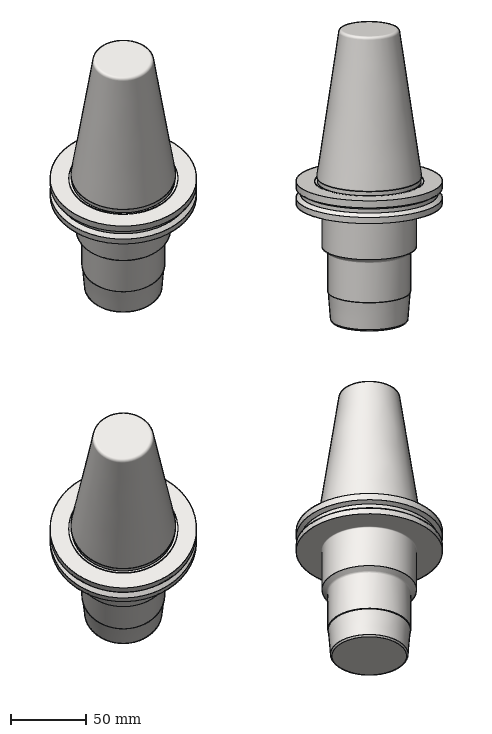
import cadquery as cq
import math

total_height = 201.8

gauge_radius = 35.0
gauge_z = 100.0
taper_ratio = 7 / 24
tip_fillet = 2.2

gauge_band = 0.6
neck_depth = 0.5
recess_radius = 36.3
recess_depth = 0.6

flange_radius = 48.72
flange_top = 96.8
flange_bottom = 81.1
groove_top = 92.0
groove_bottom = 85.3
groove_radius = 45.8
groove_floor_top = 90.4
groove_floor_bottom = 87.5

body_radius = 31.5
body_bottom = 51.2
root_fillet = 0.6

shank_radius = 27.6
shoulder_arc_width = 0.6
shoulder_arc_height = 1.0
shoulder_arc_radius = 1.6
shoulder_bottom = 48.8

nose_top = 20.2
nose_step = 0.3
nose_angle = math.radians(4.5)
nose_chamfer_height = 1.2
nose_chamfer_width = 1.0


def taper_radius(z):
    return gauge_radius - (z - gauge_z) * taper_ratio / 2


def add_taper_and_neck(profile):
    neck_radius = gauge_radius - neck_depth
    neck_top = gauge_z - gauge_band - neck_depth
    recess_floor = flange_top - recess_depth
    return (
        profile.lineTo(taper_radius(total_height), total_height)
        .lineTo(gauge_radius, gauge_z)
        .lineTo(gauge_radius, gauge_z - gauge_band)
        .lineTo(neck_radius, neck_top)
        .lineTo(neck_radius, recess_floor)
        .lineTo(recess_radius, recess_floor)
        .lineTo(recess_radius, flange_top)
    )


def add_flange(profile):
    return (
        profile.lineTo(flange_radius, flange_top)
        .lineTo(flange_radius, groove_top)
        .lineTo(groove_radius, groove_floor_top)
        .lineTo(groove_radius, groove_floor_bottom)
        .lineTo(flange_radius, groove_bottom)
        .lineTo(flange_radius, flange_bottom)
    )


def add_body_and_shank(profile):
    return (
        profile.lineTo(body_radius + root_fillet, flange_bottom)
        .radiusArc((body_radius, flange_bottom - root_fillet), -root_fillet)
        .lineTo(body_radius, body_bottom)
        .lineTo(shank_radius + shoulder_arc_width, shoulder_bottom)
        .radiusArc((shank_radius, shoulder_bottom - shoulder_arc_height), -shoulder_arc_radius)
        .lineTo(shank_radius, nose_top + nose_step)
    )


def add_nose(profile):
    start_radius = shank_radius - nose_step
    end_radius = start_radius - (nose_top - nose_chamfer_height) * math.tan(nose_angle)
    return (
        profile.lineTo(start_radius, nose_top)
        .lineTo(end_radius, nose_chamfer_height)
        .lineTo(end_radius - nose_chamfer_width, 0)
    )


outline = cq.Workplane("XZ").moveTo(0, 0).lineTo(0, total_height)
for add_section in (add_taper_and_neck, add_flange, add_body_and_shank, add_nose):
    outline = add_section(outline)

holder = outline.close().revolve(360, (0, 0, 0), (0, 1, 0))
result = holder.faces(">Z").edges().fillet(tip_fillet)